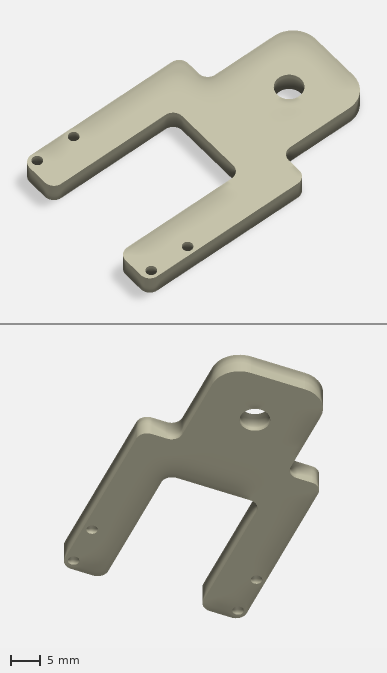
import cadquery as cq

length = 55.0
width = 33.6
thickness = 4.0

tab_width = 20.0
tab_length = 20.0
tab_corner_radius = 5.0
tab_hole_diameter = 5.2
tab_hole_from_end = tab_length / 2

slot_width = 17.6
bridge_length = 8.0
corner_radius = 2.0

pin_hole_diameter = 2.0
pin_hole_from_side = 1.6
pin_hole_from_tip = 2.0
pin_hole_spacing = 8.05

shoulder_y = length - tab_length
slot_end_y = shoulder_y - bridge_length


def rounded_plate():
    """Forked plate with all its vertical edges rounded."""
    right_half = [
        (slot_width / 2, slot_end_y),
        (slot_width / 2, 0),
        (width / 2, 0),
        (width / 2, shoulder_y),
        (tab_width / 2, shoulder_y),
        (tab_width / 2, length),
    ]
    left_half = [(-x, y) for x, y in reversed(right_half)]
    plate = cq.Workplane("XY").polyline(right_half + left_half).close().extrude(thickness)
    plate = plate.faces(">Y").edges("|Z").fillet(tab_corner_radius)

    fork_edges = plate.edges("|Z").filter(lambda edge: edge.Center().y < shoulder_y + corner_radius)
    return fork_edges.fillet(corner_radius)


def through_holes(points, diameter):
    """Cutters for round holes through the whole thickness."""
    return cq.Workplane("XY").pushPoints(points).circle(diameter / 2).extrude(thickness)


pin_hole_x = width / 2 - pin_hole_from_side
pin_hole_points = [
    (side * pin_hole_x, pin_hole_from_tip + row * pin_hole_spacing)
    for side in (-1, 1)
    for row in range(2)
]

result = (
    rounded_plate()
    .cut(through_holes([(0, length - tab_hole_from_end)], tab_hole_diameter))
    .cut(through_holes(pin_hole_points, pin_hole_diameter))
)